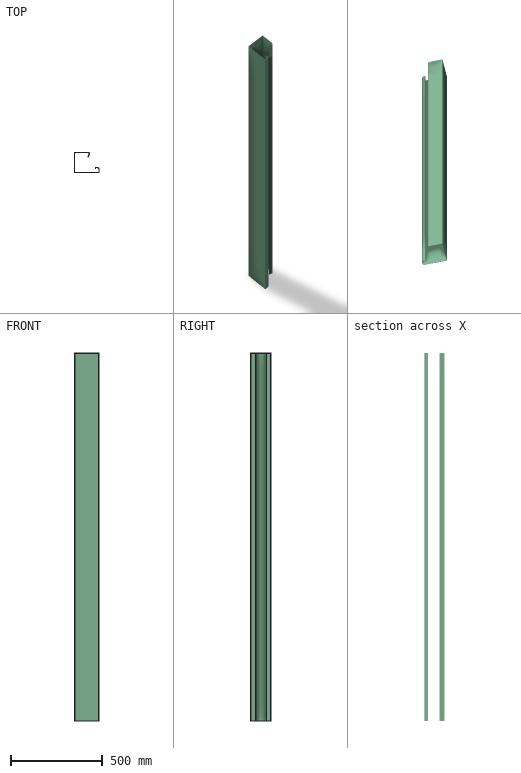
import cadquery as cq

WIDTH = 133.0
DEPTH = 110.0
LENGTH = 2000.0
SHEET = 1.0

CORNER_RADIUS = 2.5
REAR_LIP_RADIUS = 6.0
FRONT_LIP_RADIUS = 9.0
HOOK_RADIUS = 1.5

REAR_FLANGE = 83.0
REAR_LIP_DROP = 24.0
REAR_LIP_LEAN = 9.5

FRONT_LIP = 27.5
FRONT_RETURN = 18.0
FRONT_HOOK_DROP = 6.0

HALF_SHEET = SHEET / 2
LEFT = -WIDTH / 2 + HALF_SHEET
RIGHT = WIDTH / 2 - HALF_SHEET
FRONT = -DEPTH / 2 + HALF_SHEET
REAR = DEPTH / 2 - HALF_SHEET


def round_corner(wire, corner, radius):
    """Wire with its corner at the given point replaced by a tangent arc."""
    target = cq.Vector(*corner)
    vertex = min(wire.Vertices(), key=lambda v: (v.Center() - target).Length)
    return wire.fillet(radius, [vertex])


def sheet_path():
    """Middle line of the sheet, from the rear lip round the web to the front hook."""
    rear_bend = LEFT + REAR_FLANGE
    lip_top = FRONT + FRONT_LIP
    hook = RIGHT - FRONT_RETURN
    rear_lip_end = (rear_bend - REAR_LIP_LEAN, REAR - REAR_LIP_DROP)
    hook_end = (hook, lip_top - FRONT_HOOK_DROP)
    bends = [
        ((rear_bend, REAR), REAR_LIP_RADIUS),
        ((LEFT, REAR), CORNER_RADIUS),
        ((LEFT, FRONT), CORNER_RADIUS),
        ((RIGHT, FRONT), CORNER_RADIUS),
        ((RIGHT, lip_top), FRONT_LIP_RADIUS),
        ((hook, lip_top), HOOK_RADIUS),
    ]
    corners = [rear_lip_end] + [corner for corner, _ in bends] + [hook_end]
    path = cq.Wire.makePolygon([cq.Vector(*corner) for corner in corners])
    for corner, radius in bends:
        path = round_corner(path, corner, radius)
    return path


def bent_sheet(path):
    """Full-length strip of sheet swept along the path, square to it at both ends."""
    start = cq.Plane(origin=path.startPoint(), xDir=(0, 0, 1), normal=path.tangentAt(0))
    strip = cq.Workplane(start).center(LENGTH / 2, 0).rect(LENGTH, SHEET)
    return strip.sweep(cq.Workplane(path))


result = bent_sheet(sheet_path())